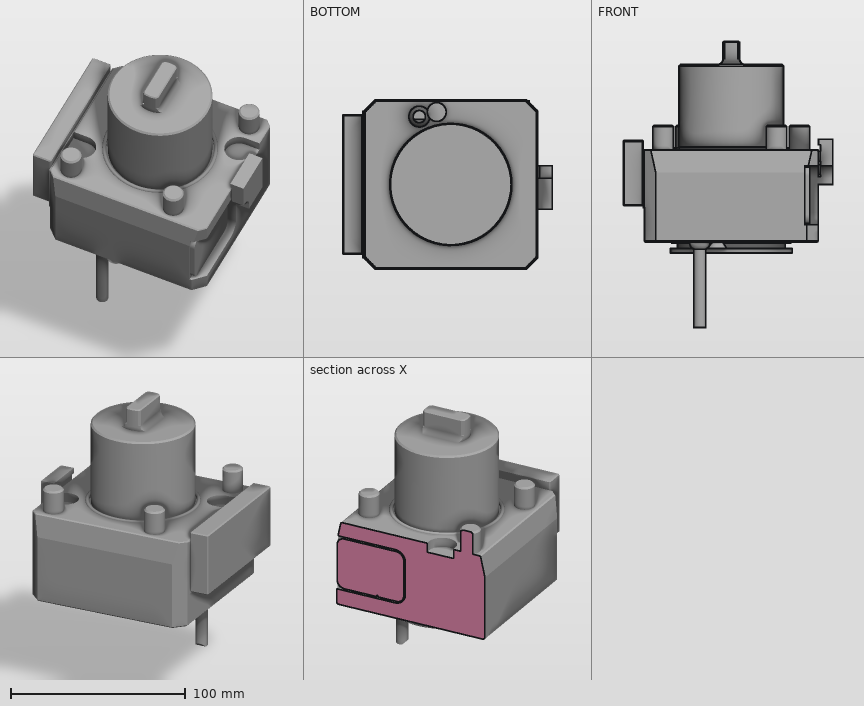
import cadquery as cq


BODY_X = 99.7
BODY_Y = 97.0
BODY_TOP = 53.1
CORNER_CHAMFER = 6.5
SLOPE_START = 40.0
SLOPE_INSET = 2.8
TOP_BEVEL = 0.5
SLOPE_BEVEL = 1.0
BASE_CHAMFER = 0.8
BODY_SIDE = BODY_X / 2

TURRET_DIA = 60.0
TURRET_FOOT_DIA = 59.9
TURRET_FOOT_TOP = 54.8
TURRET_TOP = 101.8
TURRET_CHAMFER = 1.0
GROOVE_DIA = 62.0
GROOVE_DEPTH = 1.0
BEAD_DIA = 2.5
BEAD_RING_DIA = 64.0
BEAD_SINK = 0.3

TONGUE_WIDTH = 9.5
TONGUE_DIA = 27.9
TONGUE_TOP = 115.1
TONGUE_FILLET = 3.3
TONGUE_CORNER_CHAMFER = 1.1
TONGUE_TOP_CHAMFER = 0.7

PIN_DIA = 12.0
PIN_TOP = 67.0
PIN_CHAMFER = 1.0
PIN_PITCH = 65.0
PIN_SHIFT = 6.5
PIN_Y = 36.5

NOTCH_DEPTH = 5.7
LEFT_NOTCH_WIDTH = 16.0
LEFT_NOTCH_END = -32.5
LEFT_NOTCH_Y = -18.7
RIGHT_NOTCH_DIA = 17.0
RIGHT_NOTCH_END = 32.5
RIGHT_NOTCH_Y = 19.2

PAD_THICKNESS = 0.5
PAD_BOTTOM = 19.8
PLATE_OUTER_X = -62.0
PLATE_Y = 80.0
PLATE_BOTTOM = 21.0
PLATE_TOP = 58.4
PLATE_CHAMFER = 0.7

BLOCK_OUTER_X = 58.2
BLOCK_FRONT = -10.8
BLOCK_BACK = 14.3
BLOCK_BOTTOM = 33.0
BLOCK_TOP = 59.0
GAP_WIDTH = 1.1
GAP_BOTTOM = 37.5
GAP_TOP = 55.8
SCREW_DIA = 6.0
SCREW_Y = 6.5
SCREW_HEIGHTS = (41.7, 49.2)

POCKET_FLOOR_X = 42.0
POCKET_BACK = -3.6
POCKET_BOTTOM = 10.0
POCKET_TOP = 43.8
POCKET_RADIUS = 6.7
COVER_THICKNESS = 3.0
COVER_FRONT = -48.0
COVER_RADIUS = 4.8
COVER_CLEARANCE = 0.8

STEP_DIA = 68.0
STEP_HEIGHT = 0.5
NECK_DIA = 62.0
NECK_BOTTOM = -3.3
FLANGE_DIA = 70.0
FLANGE_BOTTOM = -6.4
FLANGE_CHAMFER = 0.5

CABLE_DIA = 7.0
CABLE_X = -18.0
CABLE_Y = -38.9
CABLE_BOTTOM = -48.9
CABLE_END_CUT = 2.0
GLAND_DIA = 12.0
GLAND_BOTTOM = -4.1
GLAND_BULGE_RADIUS = 5.2
GLAND_BULGE_Z = -2.5
NIPPLE_X = -8.0
NIPPLE_Y = -41.5
NIPPLE_BOTTOM = -3.6
NIPPLE_TOP_DIA = 6.5
NIPPLE_BOTTOM_DIA = 10.8

OVERLAP = 1.6


def box(x_range, y_range, z_range):
    """Box from its limits along each axis."""
    limits = (x_range, y_range, z_range)
    size = [high - low for low, high in limits]
    start = tuple(low for low, high in limits)
    return cq.Workplane("XY").box(*size, centered=False).translate(start)


def cylinder(dia, bottom, top, x=0, y=0):
    """Upright cylinder between two heights."""
    return cq.Workplane("XY", origin=(x, y, bottom)).circle(dia / 2).extrude(top - bottom)


def body_block():
    """Block with cut corners whose front and back lean in at the top."""
    half_y = BODY_Y / 2
    slope_end = half_y - SLOPE_INSET
    half_profile = [
        (half_y, 0),
        (half_y, SLOPE_START),
        (slope_end, BODY_TOP - TOP_BEVEL),
        (slope_end - SLOPE_BEVEL, BODY_TOP),
    ]
    mirrored = [(-y, z) for y, z in reversed(half_profile)]
    leaning = cq.Workplane("YZ", origin=(-BODY_SIDE, 0, 0)).polyline(half_profile + mirrored).close()
    prism = cq.Workplane("XY").rect(BODY_X, BODY_Y).extrude(BODY_TOP)
    prism = prism.edges("|Z").chamfer(CORNER_CHAMFER)
    prism = prism.faces("<Z").chamfer(BASE_CHAMFER).faces(">Z").chamfer(TOP_BEVEL)
    return prism.intersect(leaning.extrude(BODY_X))


def foot_groove():
    """Material removed around the turret foot."""
    return cylinder(GROOVE_DIA, BODY_TOP - GROOVE_DEPTH, BODY_TOP + OVERLAP)


def sealing_bead():
    """Ring of round section, more than half sunk in the top face."""
    radius = BEAD_RING_DIA / 2
    section = cq.Workplane("XZ", origin=(radius, 0, BODY_TOP - BEAD_SINK)).circle(BEAD_DIA / 2)
    return section.revolve(360, (-radius, 0, 0), (-radius, 1, 0))


def turret():
    """Large upright cylinder on a slightly narrower foot."""
    foot = cylinder(TURRET_FOOT_DIA, BODY_TOP - GROOVE_DEPTH - OVERLAP, TURRET_FOOT_TOP)
    drum = cylinder(TURRET_DIA, TURRET_FOOT_TOP, TURRET_TOP).faces(">Z").chamfer(TURRET_CHAMFER)
    return foot.union(drum)


def tongue():
    """Flat key with rounded ends, chamfered edges and a flared foot."""
    half = TONGUE_WIDTH / 2
    flare = half + TONGUE_FILLET
    shoulder = TURRET_TOP + TONGUE_FILLET
    base = TURRET_TOP - OVERLAP
    half_length = TONGUE_DIA / 2
    round_ends = cylinder(TONGUE_DIA, base, TONGUE_TOP)
    key = box((-half, half), (-half_length, half_length), (base, TONGUE_TOP)).intersect(round_ends)
    key = key.edges("|Z").chamfer(TONGUE_CORNER_CHAMFER)
    key = key.faces(">Z").chamfer(TONGUE_TOP_CHAMFER)
    foot = (
        cq.Workplane("XZ", origin=(0, half_length, 0))
        .moveTo(-flare, base)
        .lineTo(-flare, TURRET_TOP)
        .radiusArc((-half, shoulder), -TONGUE_FILLET)
        .lineTo(half, shoulder)
        .radiusArc((flare, TURRET_TOP), -TONGUE_FILLET)
        .lineTo(flare, base)
        .close()
        .extrude(TONGUE_DIA)
        .intersect(round_ends)
    )
    return key.union(foot)


def pins():
    """Four chamfered pins, the back pair shifted sideways against the front pair."""
    group = cq.Workplane("XY")
    for y, shift in ((-PIN_Y, -PIN_SHIFT), (PIN_Y, PIN_SHIFT)):
        for x in (shift - PIN_PITCH / 2, shift + PIN_PITCH / 2):
            pin = cylinder(PIN_DIA, BODY_TOP - OVERLAP, PIN_TOP, x, y)
            group = group.union(pin.faces(">Z").chamfer(PIN_CHAMFER))
    return group


def notches():
    """Round-ended recesses running in from the two side edges of the top face."""
    floor = BODY_TOP - NOTCH_DEPTH
    depth = (floor, BODY_TOP)
    half = LEFT_NOTCH_WIDTH / 2
    left_centre = LEFT_NOTCH_END - half
    left = cylinder(LEFT_NOTCH_WIDTH, floor, BODY_TOP, left_centre, LEFT_NOTCH_Y).union(
        box((-BODY_SIDE, left_centre), (LEFT_NOTCH_Y - half, LEFT_NOTCH_Y + half), depth)
    )
    radius = RIGHT_NOTCH_DIA / 2
    right_centre = RIGHT_NOTCH_END + radius
    right = cylinder(RIGHT_NOTCH_DIA, floor, BODY_TOP, right_centre, RIGHT_NOTCH_Y).union(
        box((right_centre, BODY_SIDE), (RIGHT_NOTCH_Y, RIGHT_NOTCH_Y + radius), depth)
    )
    return left.union(right)


def side_plate():
    """Chamfered plate on the -X side with the pad behind it."""
    pad_x = -BODY_SIDE - PAD_THICKNESS
    half_pad = BODY_Y / 2 - CORNER_CHAMFER
    pad = box((pad_x, -BODY_SIDE), (-half_pad, half_pad), (PAD_BOTTOM, BODY_TOP - TOP_BEVEL))
    plate = box((PLATE_OUTER_X, pad_x), (-PLATE_Y / 2, PLATE_Y / 2), (PLATE_BOTTOM, PLATE_TOP))
    return plate.edges().chamfer(PLATE_CHAMFER).union(pad)


def side_block():
    """Block on the +X side, relieved next to the body and held by two screws."""
    depth = (BLOCK_FRONT, BLOCK_BACK)
    gap_end = BODY_SIDE + GAP_WIDTH
    block = box((BODY_SIDE, BLOCK_OUTER_X), depth, (BLOCK_BOTTOM, BLOCK_TOP))
    block = block.cut(box((BODY_SIDE, gap_end), depth, (GAP_BOTTOM, GAP_TOP)))
    for z in SCREW_HEIGHTS:
        start = (BODY_SIDE - OVERLAP, SCREW_Y, z)
        screw = cq.Workplane("YZ", origin=start).circle(SCREW_DIA / 2)
        block = block.union(screw.extrude(GAP_WIDTH + 2 * OVERLAP))
    return block


def corner_pocket():
    """Rounded pocket, open to the front and to +X."""
    pocket = box((POCKET_FLOOR_X, BLOCK_OUTER_X), (-BODY_Y, POCKET_BACK), (POCKET_BOTTOM, POCKET_TOP))
    return pocket.edges("|X and >Y").fillet(POCKET_RADIUS)


def cover_plate():
    """Rounded plate lying on the pocket floor."""
    cover = box(
        (POCKET_FLOOR_X, POCKET_FLOOR_X + COVER_THICKNESS),
        (COVER_FRONT, POCKET_BACK - COVER_CLEARANCE),
        (POCKET_BOTTOM + COVER_CLEARANCE, POCKET_TOP - COVER_CLEARANCE),
    )
    return cover.edges("|X").fillet(COVER_RADIUS)


def bottom_flange():
    """Step, neck and flange centred under the body."""
    step = cylinder(STEP_DIA, -STEP_HEIGHT, OVERLAP)
    neck = cylinder(NECK_DIA, NECK_BOTTOM, OVERLAP)
    flange = cylinder(FLANGE_DIA, FLANGE_BOTTOM, NECK_BOTTOM).edges().chamfer(FLANGE_CHAMFER)
    return step.union(neck).union(flange)


def cable():
    """Hanging cable with a bevelled end and a domed gland."""
    radius = CABLE_DIA / 2
    back = CABLE_Y + radius
    lead = cylinder(CABLE_DIA, CABLE_BOTTOM, OVERLAP, CABLE_X, CABLE_Y)
    bevel = [
        (back, CABLE_BOTTOM),
        (back, CABLE_BOTTOM + CABLE_END_CUT),
        (back - CABLE_END_CUT, CABLE_BOTTOM),
    ]
    wedge = cq.Workplane("YZ", origin=(CABLE_X - radius, 0, 0)).polyline(bevel).close()
    gland = (
        cq.Workplane("XZ")
        .moveTo(0, OVERLAP)
        .lineTo(GLAND_DIA / 2, OVERLAP)
        .lineTo(GLAND_DIA / 2, 0)
        .threePointArc((GLAND_BULGE_RADIUS, GLAND_BULGE_Z), (radius, GLAND_BOTTOM))
        .lineTo(0, GLAND_BOTTOM)
        .close()
        .revolve(360, (0, 0, 0), (0, 1, 0))
        .translate((CABLE_X, CABLE_Y, 0))
    )
    return lead.cut(wedge.extrude(CABLE_DIA)).union(gland)


def nipple():
    """Short cone under the body that widens downwards."""
    cone = cq.Workplane("XY", origin=(NIPPLE_X, NIPPLE_Y, NIPPLE_BOTTOM)).circle(NIPPLE_BOTTOM_DIA / 2)
    return cone.workplane(offset=-NIPPLE_BOTTOM).circle(NIPPLE_TOP_DIA / 2).loft()


result = body_block().union(sealing_bead()).cut(foot_groove()).cut(notches())
result = result.union(side_plate()).union(side_block())
result = result.cut(corner_pocket()).union(cover_plate())
result = result.union(turret()).union(tongue()).union(pins())
result = result.union(bottom_flange()).union(cable()).union(nipple())